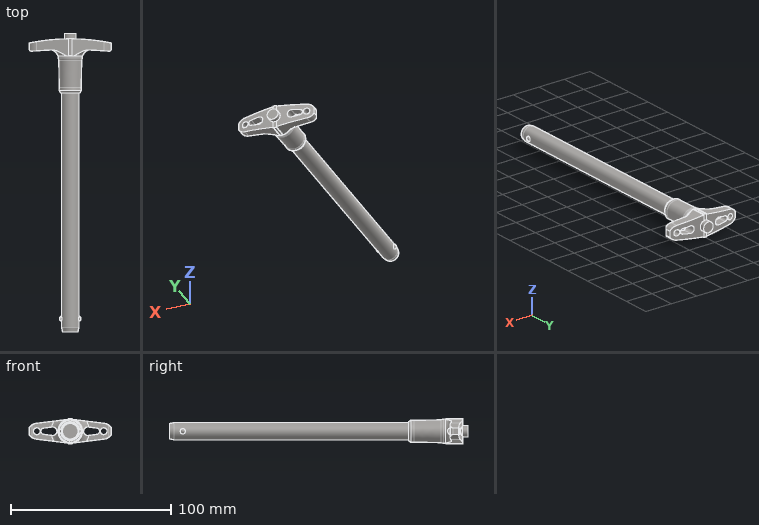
import cadquery as cq

overall_length = 186.7

button_height = 3.4
button_radius = 3.7

handle_length = 51.5
half_length = handle_length / 2
crown_drop = 2.6
middle_half_width = 7.7
shoulder_x = 21.1
shoulder_half_width = 5.0
end_round_x = 24.3
end_round_half_width = 3.7
end_half_width = 2.0
underside_middle_y = -7.0
underside_end_y = -8.0
end_edge_radius = 1.7

rib_width = 2.0
rib_span = 15.9
rib_bottom_y = -10.5

slot_inner_x = 8.4
slot_outer_x = 18.3
slot_inner_radius = 2.6
slot_outer_radius = 1.9
lanyard_hole_x = 21.0
lanyard_hole_radius = 2.0

flare_radius = 14.5
flare_sagitta = -1.3
flare_core_y = -1.9
neck_radius = 7.7
neck_top_y = -10.8
neck_bottom_y = -12.0
barrel_radius = 7.3
barrel_top_y = -13.6
barrel_end_radius = 7.0
barrel_bottom_y = -30.5
lip_radius = 7.1
lip_y = -32.3
collar_end_radius = 6.0
collar_end_y = -34.0

shank_diameter = 11.0
shank_radius = shank_diameter / 2
tip_y = button_height - overall_length
tip_chamfer_length = 3.0
tip_radius = 4.9

ball_radius = 1.7
ball_reach = 6.7
ball_tip_distance = 8.4


def handle_plan():
    """Tapered outline of the handle seen along the pin, with rounded ends."""
    return (
        cq.Workplane("XZ")
        .moveTo(0, middle_half_width)
        .lineTo(shoulder_x, shoulder_half_width)
        .threePointArc((end_round_x, end_round_half_width), (half_length, end_half_width))
        .lineTo(half_length, -end_half_width)
        .threePointArc((end_round_x, -end_round_half_width), (shoulder_x, -shoulder_half_width))
        .lineTo(0, -middle_half_width)
        .lineTo(-shoulder_x, -shoulder_half_width)
        .threePointArc((-end_round_x, -end_round_half_width), (-half_length, -end_half_width))
        .lineTo(-half_length, end_half_width)
        .threePointArc((-end_round_x, end_round_half_width), (-shoulder_x, shoulder_half_width))
        .close()
        .extrude(-neck_top_y)
    )


def handle_arms():
    """Arched bar with a crowned top and a hollow underside."""
    arch = (
        cq.Workplane("XY")
        .moveTo(-half_length, -crown_drop)
        .threePointArc((0, 0), (half_length, -crown_drop))
        .lineTo(half_length, underside_end_y)
        .threePointArc((0, underside_middle_y), (-half_length, underside_end_y))
        .close()
        .extrude(rib_span / 2, both=True)
    )
    return arch.edges("|Z").edges("<Y").fillet(end_edge_radius)


def flare():
    """Trumpet-shaped transition from the handle underside to the collar neck."""
    return (
        cq.Workplane("XY")
        .moveTo(0, flare_core_y)
        .lineTo(flare_radius, flare_core_y)
        .lineTo(flare_radius, underside_middle_y)
        .sagittaArc((neck_radius, neck_top_y), flare_sagitta)
        .lineTo(0, neck_top_y)
        .close()
        .revolve(360, (0, 0, 0), (0, 1, 0))
    )


def arm_openings(side):
    """Tapered slot and lanyard hole through one arm; side is +1 or -1."""
    depth = -neck_top_y
    inner_center = slot_inner_x + slot_inner_radius
    outer_center = slot_outer_x - slot_outer_radius
    slot = (
        cq.Workplane("XZ")
        .moveTo(side * inner_center, slot_inner_radius)
        .lineTo(side * outer_center, slot_outer_radius)
        .threePointArc((side * slot_outer_x, 0), (side * outer_center, -slot_outer_radius))
        .lineTo(side * inner_center, -slot_inner_radius)
        .threePointArc((side * slot_inner_x, 0), (side * inner_center, slot_inner_radius))
        .close()
        .extrude(depth)
    )
    hole = (
        cq.Workplane("XZ")
        .center(side * lanyard_hole_x, 0)
        .circle(lanyard_hole_radius)
        .extrude(depth)
    )
    return slot.union(hole)


def ribs():
    return (
        cq.Workplane("XZ")
        .rect(rib_width, rib_span)
        .extrude(-rib_bottom_y)
    )


def pin_body():
    """Button, collar core, collar and shank as one turned profile."""
    return (
        cq.Workplane("XY")
        .moveTo(0, button_height)
        .lineTo(button_radius, button_height)
        .lineTo(button_radius, neck_top_y)
        .lineTo(neck_radius, neck_top_y)
        .lineTo(neck_radius, neck_bottom_y)
        .lineTo(barrel_radius, barrel_top_y)
        .lineTo(barrel_end_radius, barrel_bottom_y)
        .lineTo(lip_radius, lip_y)
        .lineTo(collar_end_radius, collar_end_y)
        .lineTo(shank_radius, collar_end_y)
        .lineTo(shank_radius, tip_y + tip_chamfer_length)
        .lineTo(tip_radius, tip_y)
        .lineTo(0, tip_y)
        .close()
        .revolve(360, (0, 0, 0), (0, 1, 0))
    )


def locking_ball(side):
    center = (side * (ball_reach - ball_radius), tip_y + ball_tip_distance, 0)
    return cq.Workplane("XY").sphere(ball_radius).translate(center)


plan = handle_plan()
handle = handle_arms().intersect(plan).union(flare().intersect(plan))
for side in (-1, 1):
    handle = handle.cut(arm_openings(side))

result = handle.union(ribs()).union(pin_body())
for side in (-1, 1):
    result = result.union(locking_ball(side))